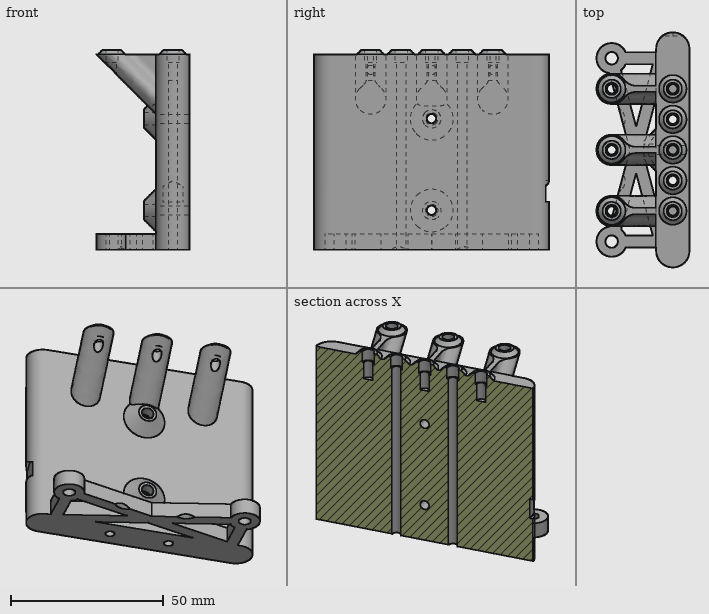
import cadquery as cq
import math

block_length = 77.0
block_thickness = 11.0
block_height = 64.0
face_x = -block_thickness / 2

barb_pitch = 10.0
barb_base_radius = 4.5
barb_tip_radius = 3.0
barb_height = 1.5
block_barb_x = 0.0
block_barb_ys = [step * barb_pitch for step in (-2, -1, 0, 1, 2)]
arm_barb_ys = [step * barb_pitch for step in (-2, 0, 2)]
through_bore_ys = [-barb_pitch, barb_pitch]
bore_radius = 1.5
mouth_radius = 2.0
mouth_depth = 4.0
blind_bore_depth = 10.0

row_spacing = 20.0
outer_x = -row_spacing
barb_spots = [(block_barb_x, y) for y in block_barb_ys] + [(outer_x, y) for y in arm_barb_ys]
arm_radius = 5.0
arm_fillet = 5.0
web_thickness = 2.0

nozzle_zs = (13.0, 43.0)
nozzle_base_radius = 7.0
nozzle_length = 4.0
nozzle_tip_radius = nozzle_base_radius - nozzle_length

foot_height = 5.3
lug_radius = 5.0
lug_hole_radius = 2.0
lug_y = 30.0
tie_width = 4.0
strut_inner_x = -4.0
strut_width = 4.0

relief_ys = (-barb_pitch, barb_pitch)
relief_radius = 4.3
relief_depth = 1.5

pocket_width = 6.6
pocket_depth = 1.1
pocket_bottom_z = 15.8
pocket_eaves_z = 20.9
pocket_roof_angle = 30.0
pocket_roof_height = pocket_width / 2 * math.tan(math.radians(pocket_roof_angle))

UP = cq.Vector(0, 0, 1)
DOWN = cq.Vector(0, 0, -1)
PLUS_X = cq.Vector(1, 0, 0)
MINUS_X = cq.Vector(-1, 0, 0)


def make_block():
    return (
        cq.Workplane("XY")
        .slot2D(block_length, block_thickness, 90)
        .extrude(block_height)
    )


def make_arm(y):
    """Keyhole section (disc, two fillets, web) swept obliquely down into the block."""
    reach = arm_radius + arm_fillet
    half_web = web_thickness / 2
    fillet_y = half_web + arm_fillet
    fillet_dx = math.sqrt(reach**2 - fillet_y**2)
    blend_x = outer_x + arm_radius / reach * fillet_dx
    blend_y = arm_radius / reach * fillet_y
    web_start_x = outer_x + fillet_dx
    toward_disc = math.atan2(-fillet_y, -fillet_dx)
    middle = (toward_disc - math.pi / 2) / 2
    middle_x = web_start_x + arm_fillet * math.cos(middle)
    middle_y = fillet_y + arm_fillet * math.sin(middle)
    section = (
        cq.Workplane("XY", origin=(0, y, block_height))
        .moveTo(blend_x, blend_y)
        .threePointArc((outer_x - arm_radius, 0), (blend_x, -blend_y))
        .threePointArc((middle_x, -middle_y), (web_start_x, -half_web))
        .lineTo(0, -half_web)
        .lineTo(0, half_web)
        .lineTo(web_start_x, half_web)
        .threePointArc((middle_x, middle_y), (blend_x, blend_y))
        .close()
    )
    slope = cq.Vector(row_spacing, 0, -row_spacing)
    bar = cq.Workplane(cq.Solid.extrudeLinear(section.val(), [], slope))
    keep_length = row_spacing + arm_radius
    keep = (
        cq.Workplane("XY")
        .box(keep_length, block_length, block_height, centered=(False, True, False))
        .translate((-keep_length, 0, 0))
    )
    return bar.intersect(keep)


def make_cone(base_radius, tip_radius, height, base, direction):
    return cq.Workplane(cq.Solid.makeCone(base_radius, tip_radius, height, base, direction))


def make_bore(tip, direction, depth):
    """Stepped bore starting at the tip: a wide mouth, then the narrow bore."""
    narrow = cq.Workplane(cq.Solid.makeCylinder(bore_radius, depth, tip, direction))
    mouth = cq.Workplane(cq.Solid.makeCylinder(mouth_radius, mouth_depth, tip, direction))
    return narrow.union(mouth)


def make_strut(side):
    """Diagonal strut from the lug on one side to the block on the other side."""
    run_x = strut_inner_x - outer_x
    run_y = -2 * side * lug_y
    return (
        cq.Workplane("XY")
        .rect(math.hypot(run_x, run_y), strut_width)
        .extrude(foot_height)
        .rotate((0, 0, 0), (0, 0, 1), math.degrees(math.atan2(run_y, run_x)))
        .translate(((outer_x + strut_inner_x) / 2, 0, 0))
    )


def make_foot():
    lug_points = [(outer_x, -lug_y), (outer_x, lug_y)]
    foot = cq.Workplane("XY").pushPoints(lug_points).circle(lug_radius).extrude(foot_height)
    tie_points = [(outer_x / 2, -lug_y), (outer_x / 2, lug_y)]
    foot = foot.union(
        cq.Workplane("XY").pushPoints(tie_points).rect(row_spacing, tie_width).extrude(foot_height)
    )
    for side in (-1, 1):
        foot = foot.union(make_strut(side))
    foot = foot.cut(
        cq.Workplane("XY").pushPoints(lug_points).circle(lug_hole_radius).extrude(foot_height)
    )
    for y in relief_ys:
        base = cq.Vector(outer_x, y, 0)
        foot = foot.cut(make_cone(relief_radius, relief_radius - relief_depth, relief_depth, base, UP))
    return foot


def make_end_pocket():
    half = pocket_width / 2
    return (
        cq.Workplane("XZ", origin=(0, block_length / 2, 0))
        .moveTo(-half, pocket_bottom_z)
        .lineTo(half, pocket_bottom_z)
        .lineTo(half, pocket_eaves_z)
        .lineTo(0, pocket_eaves_z + pocket_roof_height)
        .lineTo(-half, pocket_eaves_z)
        .close()
        .extrude(pocket_depth)
    )


def add_cones(body):
    for x, y in barb_spots:
        base = cq.Vector(x, y, block_height)
        body = body.union(make_cone(barb_base_radius, barb_tip_radius, barb_height, base, UP))
    for z in nozzle_zs:
        base = cq.Vector(face_x, 0, z)
        body = body.union(
            make_cone(nozzle_base_radius, nozzle_tip_radius, nozzle_length, base, MINUS_X)
        )
    return body


def cut_bores(body):
    tip_z = block_height + barb_height
    for x, y in barb_spots:
        passes_block = x == block_barb_x and y in through_bore_ys
        depth = tip_z if passes_block else blind_bore_depth
        body = body.cut(make_bore(cq.Vector(x, y, tip_z), DOWN, depth))
    for z in nozzle_zs:
        tip = cq.Vector(face_x - nozzle_length, 0, z)
        body = body.cut(make_bore(tip, PLUS_X, nozzle_length + block_thickness))
    return body


body = make_block().union(make_foot())
for arm_y in arm_barb_ys:
    body = body.union(make_arm(arm_y))
body = add_cones(body)
body = cut_bores(body)
result = body.cut(make_end_pocket())